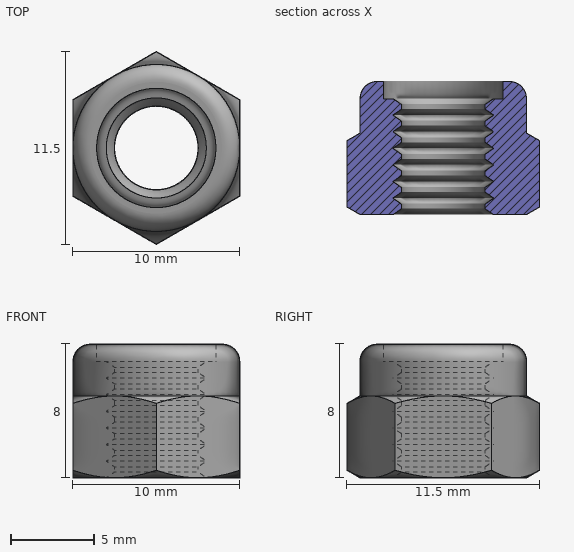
import cadquery as cq
import math

hex_sides = 6
half_side_angle = 180 / hex_sides
across_flats = 10.0
across_corners = across_flats / math.cos(math.radians(half_side_angle))
hex_height = 4.9
corner_chamfer_angle = 30.0
corner_clearance = 1.0

total_height = 8.0
collar_radius = across_flats / 2
collar_fillet = 1.05

recess_radius = 3.575
recess_depth = 1.04

thread_minor_radius = 2.5
thread_major_radius = 3.0
thread_ring_count = 7
thread_length = total_height - recess_depth
thread_pitch = thread_length / thread_ring_count
crest_height = 0.3
flank_height = (thread_pitch - crest_height) / 2


def revolve_about_z(profile):
    """Revolve a closed radius/height profile around the Z axis."""
    return profile.revolve(360, (0, 0, 0), (0, 1, 0))


def make_hexagon():
    """Hexagonal prism, corners on Y, with conical chamfers at both ends."""
    prism = (
        cq.Workplane("XY")
        .polygon(hex_sides, across_corners)
        .extrude(hex_height)
        .rotate((0, 0, 0), (0, 0, 1), half_side_angle)
    )
    flat_radius = across_flats / 2
    cone_radius = across_corners / 2 + corner_clearance
    cone_drop = (cone_radius - flat_radius) * math.tan(math.radians(corner_chamfer_angle))
    chamfer_envelope = revolve_about_z(
        cq.Workplane("XZ")
        .moveTo(0, 0)
        .lineTo(flat_radius, 0)
        .lineTo(cone_radius, cone_drop)
        .lineTo(cone_radius, hex_height - cone_drop)
        .lineTo(flat_radius, hex_height)
        .lineTo(0, hex_height)
        .close()
    )
    return prism.intersect(chamfer_envelope)


def make_collar():
    """Cylinder above the hexagon with a rounded top rim."""
    return (
        cq.Workplane("XY")
        .workplane(offset=hex_height)
        .circle(collar_radius)
        .extrude(total_height - hex_height)
        .faces(">Z")
        .edges()
        .fillet(collar_fillet)
    )


def make_bore():
    """Cutter for the threaded hole and the recess above it."""
    profile = cq.Workplane("XZ").moveTo(0, 0).lineTo(thread_major_radius, 0)
    for ring in range(thread_ring_count):
        ring_bottom = ring * thread_pitch
        crest_bottom = ring_bottom + flank_height
        profile = (
            profile.lineTo(thread_minor_radius, crest_bottom)
            .lineTo(thread_minor_radius, crest_bottom + crest_height)
            .lineTo(thread_major_radius, ring_bottom + thread_pitch)
        )
    profile = (
        profile.lineTo(recess_radius, thread_length)
        .lineTo(recess_radius, total_height)
        .lineTo(0, total_height)
        .close()
    )
    return revolve_about_z(profile)


result = make_hexagon().union(make_collar()).cut(make_bore())